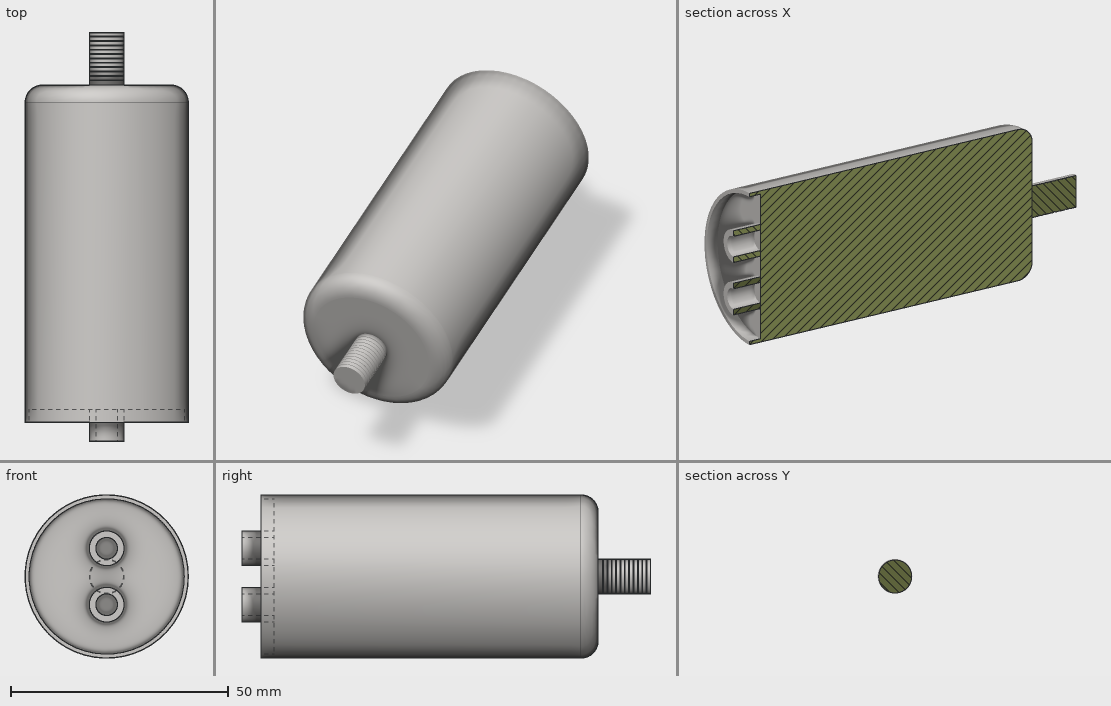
import cadquery as cq

OVERALL_LENGTH = 93.9
CAN_DIAMETER = 37.6
CAN_EDGE_RADIUS = 4.0
RIM_WALL = 0.9
RECESS_DEPTH = 3.0

TERMINAL_DIAMETER = 8.0
TERMINAL_BORE = 5.0
TERMINAL_PROTRUSION = 4.3
TERMINAL_SPACING = 13.0

STUD_DIAMETER = 8.0
STUD_LENGTH = 12.0
LAND_COUNT = 12
GROOVE_WIDTH = 0.2
GROOVE_DEPTH = 0.14

front_end = -OVERALL_LENGTH / 2
back_end = OVERALL_LENGTH / 2
can_front = front_end + TERMINAL_PROTRUSION
can_back = back_end - STUD_LENGTH
groove_pitch = STUD_LENGTH / LAND_COUNT


def cylinder(diameter, start_y, length, z=0):
    """Cylinder along Y, from start_y toward +Y, with its axis at height z."""
    base = cq.Plane(origin=(0, start_y, z), xDir=(1, 0, 0), normal=(0, 1, 0))
    return cq.Workplane(base).circle(diameter / 2).extrude(length)


def make_can():
    """Round can with a rounded back edge and a shallow recess in its front end."""
    body = cylinder(CAN_DIAMETER, can_front, can_back - can_front)
    body = body.faces(">Y").edges().fillet(CAN_EDGE_RADIUS)
    recess = cylinder(CAN_DIAMETER - 2 * RIM_WALL, can_front, RECESS_DEPTH)
    return body.cut(recess)


def make_stud():
    """Stud standing on the back of the can, with its thread as shallow square ring grooves."""
    stud = cylinder(STUD_DIAMETER, can_back, STUD_LENGTH)
    core_diameter = STUD_DIAMETER - 2 * GROOVE_DEPTH
    for index in range(1, LAND_COUNT):
        groove_start = can_back + index * groove_pitch
        ring = cylinder(STUD_DIAMETER, groove_start, GROOVE_WIDTH)
        stud = stud.cut(ring.cut(cylinder(core_diameter, groove_start, GROOVE_WIDTH)))
    return stud


def make_terminal(z):
    """Tubular terminal standing on the recess floor, bored along its whole length."""
    length = TERMINAL_PROTRUSION + RECESS_DEPTH
    bore = cylinder(TERMINAL_BORE, front_end, length, z)
    return cylinder(TERMINAL_DIAMETER, front_end, length, z).cut(bore)


can = make_can()
stud = make_stud()
terminals = [make_terminal(side * TERMINAL_SPACING / 2) for side in (-1, 1)]

result = cq.Compound.makeCompound([can.val(), stud.val(), *[terminal.val() for terminal in terminals]])